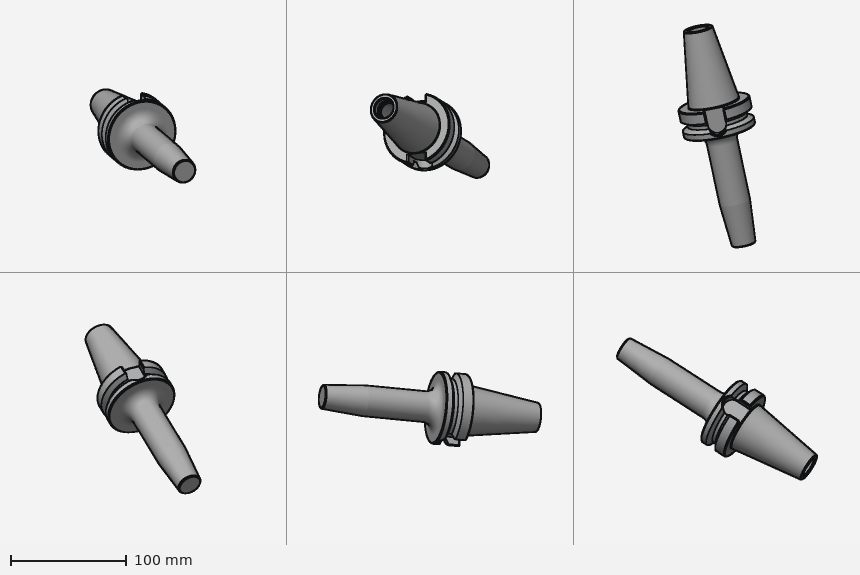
import cadquery as cq
import math

total_length = 195.4

gauge_x = 65.5
gauge_radius = 22.3
taper_slope = 7 / 48
tail_radius = gauge_radius - gauge_x * taper_slope
tail_chamfer = 0.5
taper_end_x = 63.7
taper_end_radius = tail_radius + taper_end_x * taper_slope
collar_start_x = 64.9
collar_end_x = 66.2
root_radius = 22.7

flange_start_x = 67.2
flange_end_x = 92.5
flange_radius = 31.5
flange_chamfer = 1.0
groove_radius = 26.4
groove_floor_start_x = 80.1
groove_floor_end_x = 83.6
groove_flank_angle = math.radians(30)
groove_flank_run = (flange_radius - groove_radius) * math.tan(groove_flank_angle)

shank_radius = 13.5
neck_fillet = 10.2
nose_start_x = 157.1
nose_radius = 10.5
nose_chamfer = 1.0

slot_width = 16.0
slot_end_x = 89.0
slot_floor_height = root_radius
slot_edge_chamfer = 1.2

mouth_radius = 9.5
counterbore_radius = 8.5
counterbore_depth = 5.9
thread_major_radius = 7.8
thread_relief_end = 9.0
thread_radius = 7.0
thread_depth = 29.3
drill_point_angle = math.radians(118)


def turned_body():
    arc_center_x = flange_end_x + neck_fillet
    arc_center_radius = shank_radius + neck_fillet
    arc_offset = neck_fillet * math.sqrt(0.5)
    return (
        cq.Workplane("XY")
        .lineTo(0, tail_radius - tail_chamfer)
        .lineTo(tail_chamfer, tail_radius + tail_chamfer * taper_slope)
        .lineTo(taper_end_x, taper_end_radius)
        .lineTo(collar_start_x, gauge_radius)
        .lineTo(collar_end_x, gauge_radius)
        .lineTo(flange_start_x, root_radius)
        .lineTo(flange_start_x, flange_radius - flange_chamfer)
        .lineTo(flange_start_x + flange_chamfer, flange_radius)
        .lineTo(groove_floor_start_x - groove_flank_run, flange_radius)
        .lineTo(groove_floor_start_x, groove_radius)
        .lineTo(groove_floor_end_x, groove_radius)
        .lineTo(groove_floor_end_x + groove_flank_run, flange_radius)
        .lineTo(flange_end_x - flange_chamfer, flange_radius)
        .lineTo(flange_end_x, flange_radius - flange_chamfer)
        .lineTo(flange_end_x, arc_center_radius)
        .threePointArc(
            (arc_center_x - arc_offset, arc_center_radius - arc_offset),
            (arc_center_x, shank_radius),
        )
        .lineTo(nose_start_x, shank_radius)
        .lineTo(total_length - nose_chamfer, nose_radius)
        .lineTo(total_length, nose_radius - nose_chamfer)
        .lineTo(total_length, 0)
        .close()
        .revolve(360, (0, 0, 0), (1, 0, 0))
    )


def tail_bore():
    mouth_depth = mouth_radius - counterbore_radius
    first_step = counterbore_radius - thread_major_radius
    second_step = thread_major_radius - thread_radius
    point_depth = thread_radius / math.tan(drill_point_angle / 2)
    return (
        cq.Workplane("XY")
        .lineTo(0, mouth_radius)
        .lineTo(mouth_depth, counterbore_radius)
        .lineTo(counterbore_depth, counterbore_radius)
        .lineTo(counterbore_depth + first_step, thread_major_radius)
        .lineTo(thread_relief_end, thread_major_radius)
        .lineTo(thread_relief_end + second_step, thread_radius)
        .lineTo(thread_depth, thread_radius)
        .lineTo(thread_depth + point_depth, 0)
        .close()
        .revolve(360, (0, 0, 0), (1, 0, 0))
    )


def drive_slot():
    """Round-ended slot cutter above the floor, open toward the tail."""
    end_radius = slot_width / 2
    center_x = slot_end_x - end_radius
    return (
        cq.Workplane("XY", origin=(0, 0, slot_floor_height))
        .moveTo(flange_start_x, -end_radius)
        .lineTo(center_x, -end_radius)
        .threePointArc((slot_end_x, 0), (center_x, end_radius))
        .lineTo(flange_start_x, end_radius)
        .close()
        .extrude(flange_radius - slot_floor_height)
    )


def slot_rim_edges(body):
    """Edges where the slot walls meet the entry face and the outer surface of the flange."""
    margin = 0.1
    half_width = slot_width / 2 + margin
    entry_box = cq.selectors.BoxSelector(
        (flange_start_x - margin, -half_width, slot_floor_height + margin),
        (groove_floor_start_x - groove_flank_run - margin, half_width, flange_radius),
    )
    end_box = cq.selectors.BoxSelector(
        (groove_floor_end_x + groove_flank_run + margin, -half_width, slot_floor_height + margin),
        (flange_end_x - flange_chamfer - margin, half_width, flange_radius + margin),
    )
    return body.edges(entry_box + end_box)


def cut_drive_slot(body):
    slotted = body.cut(drive_slot())
    return slot_rim_edges(slotted).chamfer(slot_edge_chamfer)


body = turned_body().cut(tail_bore())
for _ in range(2):
    body = cut_drive_slot(body).rotate((0, 0, 0), (1, 0, 0), 180)
result = body